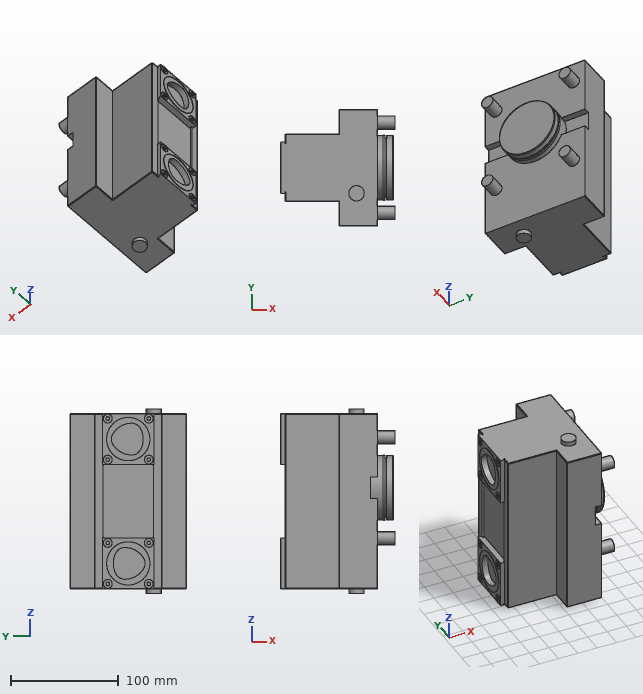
import cadquery as cq
import math

total_height = 171.5
pin_height = 4.5
body_height = total_height - 2 * pin_height

nose_x = 4.5
shoulder_x = 54.4
back_x = 90.0
nose_width = 62.8
flange_width = 108.0
edge_chamfer = 0.7

plate_width = 48.0
plate_height = 47.3
plate_offset = (body_height - plate_height) / 2
plate_x = 0.5
tongue_width = 44.6
tongue_depth = 2.5

pocket_width = 47.0
pocket_depth = 1.9
pocket_corner = 4.8
pocket_overlap = 2.2

insert_radius = 20.0
lobe_distance = 6.3
lobe_radius = 9.3
lobe_recess_depth = 6.0

screw_offset = 19.0
screw_head_radius = 4.1
socket_radius = 1.7
socket_depth = 0.3

pin_x = 70.7
pin_y = -23.7
pin_diameter = 14.2

spigot_z = 12.5
spigot_radius = 30.0
spigot_length = 15.1
spigot_chamfer_length = 1.2
spigot_chamfer_drop = 0.5
ring_start = 5.0
ring_bulge = 0.25
groove_start = 7.2
groove_end = 8.5
groove_depth = 2.5
slot_width = 20.0
slot_depth = 6.3

bolt_radius = 6.2
bolt_length = 16.5
bolt_offset_y = 41.8
bolt_offset_z = 46.8


def block(x_start, x_end, width, height, z=0.0):
    """Box from x_start to x_end, centred on Y and on the given Z."""
    return cq.Workplane("YZ", origin=(x_start, 0, z)).rect(width, height).extrude(x_end - x_start)


def rod(x_start, length, radius, y, z):
    """Cylinder along +X."""
    return cq.Workplane("YZ", origin=(x_start, y, z)).circle(radius).extrude(length)


def make_body():
    """T-section block with all outer edges chamfered except those of the back face."""
    half_nose = nose_width / 2
    half_flange = flange_width / 2
    outline = [
        (nose_x, -half_nose),
        (shoulder_x, -half_nose),
        (shoulder_x, -half_flange),
        (back_x, -half_flange),
        (back_x, half_flange),
        (shoulder_x, half_flange),
        (shoulder_x, half_nose),
        (nose_x, half_nose),
    ]
    body = cq.Workplane("XY").polyline(outline).close().extrude(body_height / 2, both=True)
    inner_corners = cq.selectors.BoxSelector(
        (shoulder_x - edge_chamfer, -half_nose - edge_chamfer, -edge_chamfer),
        (shoulder_x + edge_chamfer, half_nose + edge_chamfer, edge_chamfer),
    )
    back_edges = body.faces(">X").edges()
    corner_edges = body.edges("|Z").edges(inner_corners)
    sharp_codes = {edge.hashCode() for edge in back_edges.vals() + corner_edges.vals()}
    return body.edges().filter(lambda edge: edge.hashCode() not in sharp_codes).chamfer(edge_chamfer)


def make_pocket():
    """Cutter for the shallow pocket between the two plates."""
    height = body_height - 2 * plate_height + 2 * pocket_overlap
    pocket = block(nose_x, nose_x + pocket_depth, pocket_width, height)
    return pocket.edges("|X").fillet(pocket_corner)


def make_lobed_recess(z, tip_side):
    """Cutter with a three-lobed outline whose first lobe points to +Y (1) or -Y (-1)."""
    flank_radius = lobe_radius + lobe_distance * math.sqrt(3)

    def point(distance, degrees):
        angle = math.radians(degrees)
        return (tip_side * distance * math.cos(angle), distance * math.sin(angle))

    def lobe_point(lobe_angle, degrees):
        centre_y, centre_z = point(lobe_distance, lobe_angle)
        offset_y, offset_z = point(lobe_radius, degrees)
        return (centre_y + offset_y, centre_z + offset_z)

    outline = cq.Workplane("YZ", origin=(0, 0, z)).moveTo(*lobe_point(0, -30))
    for lobe_angle in (0, 120, 240):
        lobe_tip = point(lobe_distance + lobe_radius, lobe_angle)
        flank_middle = point(flank_radius - lobe_distance, lobe_angle + 60)
        outline = outline.threePointArc(lobe_tip, lobe_point(lobe_angle, lobe_angle + 30))
        outline = outline.threePointArc(flank_middle, lobe_point(lobe_angle + 120, lobe_angle + 90))
    return outline.close().extrude(lobe_recess_depth)


def make_plate(z):
    """Cover plate with its tongue, raised insert and four screws."""
    plate = block(plate_x, nose_x, plate_width, plate_height, z)
    tongue = block(nose_x, nose_x + tongue_depth, tongue_width, plate_height, z)
    plate = plate.union(tongue)
    plate = plate.union(rod(0, nose_x, insert_radius, 0, z))
    for side_y in (-1, 1):
        for side_z in (-1, 1):
            screw_y = side_y * screw_offset
            screw_z = z + side_z * screw_offset
            plate = plate.union(rod(0, nose_x, screw_head_radius, screw_y, screw_z))
            plate = plate.cut(rod(0, socket_depth, socket_radius, screw_y, screw_z))
    return plate


def make_spigot():
    """Spigot turned about X, with a slightly bulging sealing ring and a groove."""
    groove_radius = spigot_radius - groove_depth
    spigot = (
        cq.Workplane("XY", origin=(back_x, 0, spigot_z))
        .moveTo(-slot_depth, 0)
        .lineTo(-slot_depth, spigot_radius)
        .lineTo(ring_start, spigot_radius)
        .threePointArc(
            ((ring_start + groove_start) / 2, spigot_radius + ring_bulge),
            (groove_start, spigot_radius),
        )
        .lineTo(groove_start, groove_radius)
        .lineTo(groove_end, groove_radius)
        .lineTo(groove_end, spigot_radius)
        .lineTo(spigot_length - spigot_chamfer_length, spigot_radius)
        .lineTo(spigot_length, spigot_radius - spigot_chamfer_drop)
        .lineTo(spigot_length, 0)
        .close()
    )
    return spigot.revolve(360, (0, 0, 0), (1, 0, 0))


def make_bolts():
    """Four bolt ends standing out of the back face around the spigot."""
    bolts = cq.Workplane("XY")
    for side_y in (-1, 1):
        for side_z in (-1, 1):
            bolt_y = side_y * bolt_offset_y
            bolt_z = spigot_z + side_z * bolt_offset_z
            bolts = bolts.add(rod(back_x, bolt_length, bolt_radius, bolt_y, bolt_z))
    return bolts.combine()


pins = cq.Workplane("XY").center(pin_x, pin_y).circle(pin_diameter / 2).extrude(total_height / 2, both=True)
cross_slot = block(back_x - slot_depth, back_x, flange_width, slot_width, spigot_z)

result = make_body().cut(make_pocket()).cut(cross_slot)
for z, tip_side in ((plate_offset, 1), (-plate_offset, -1)):
    result = result.union(make_plate(z)).cut(make_lobed_recess(z, tip_side))
result = result.union(pins).union(make_spigot()).union(make_bolts())